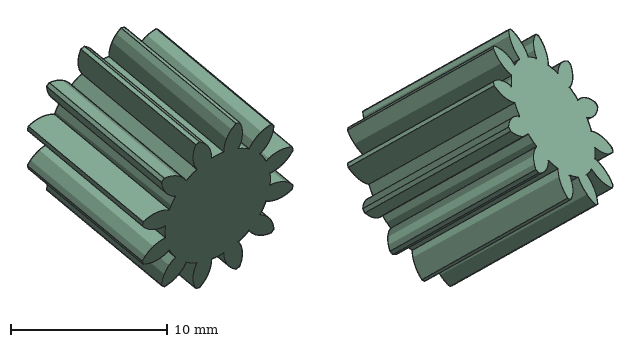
import cadquery as cq
import math

MODULE = 0.9
TOOTH_COUNT = 12
LENGTH = 12.0
ADDENDUM = MODULE
DEDENDUM = 1.25 * MODULE

PITCH_RADIUS = MODULE * TOOTH_COUNT / 2
TIP_RADIUS = PITCH_RADIUS + ADDENDUM
ROOT_RADIUS = PITCH_RADIUS - DEDENDUM

PITCH_ANGLE = 360.0 / TOOTH_COUNT
TIP_HALF_ANGLE = 1.4
ROOT_HALF_ANGLE = 8.35
FLANK_RADIUS = 2.2


def polar(radius, angle):
    """Point in the gear plane, with the angle in degrees."""
    return (radius * math.cos(math.radians(angle)), radius * math.sin(math.radians(angle)))


def arc_middle(start, end, radius):
    """Midpoint of the minor arc that bulges to the right of start-to-end."""
    dx = end[0] - start[0]
    dy = end[1] - start[1]
    chord = math.hypot(dx, dy)
    sagitta = radius - math.sqrt(radius**2 - (chord / 2) ** 2)
    mid_x = (start[0] + end[0]) / 2 + sagitta * dy / chord
    mid_y = (start[1] + end[1]) / 2 - sagitta * dx / chord
    return (mid_x, mid_y)


def add_tooth(profile, center_angle):
    """Add one tooth and the root land after it, going counterclockwise."""
    root_start = polar(ROOT_RADIUS, center_angle - ROOT_HALF_ANGLE)
    tip_start = polar(TIP_RADIUS, center_angle - TIP_HALF_ANGLE)
    tip_middle = polar(TIP_RADIUS, center_angle)
    tip_end = polar(TIP_RADIUS, center_angle + TIP_HALF_ANGLE)
    root_end = polar(ROOT_RADIUS, center_angle + ROOT_HALF_ANGLE)
    land_middle = polar(ROOT_RADIUS, center_angle + PITCH_ANGLE / 2)
    land_end = polar(ROOT_RADIUS, center_angle + PITCH_ANGLE - ROOT_HALF_ANGLE)

    profile = profile.threePointArc(arc_middle(root_start, tip_start, FLANK_RADIUS), tip_start)
    profile = profile.threePointArc(tip_middle, tip_end)
    profile = profile.threePointArc(arc_middle(tip_end, root_end, FLANK_RADIUS), root_end)
    return profile.threePointArc(land_middle, land_end)


def make_pinion():
    """Extrude the closed tooth profile; root lands are centred on the Y and Z axes."""
    first_tooth_angle = PITCH_ANGLE / 2
    start = polar(ROOT_RADIUS, first_tooth_angle - ROOT_HALF_ANGLE)
    profile = cq.Workplane("YZ").moveTo(*start)
    for index in range(TOOTH_COUNT):
        profile = add_tooth(profile, first_tooth_angle + index * PITCH_ANGLE)
    return profile.close().extrude(LENGTH)


result = make_pinion()